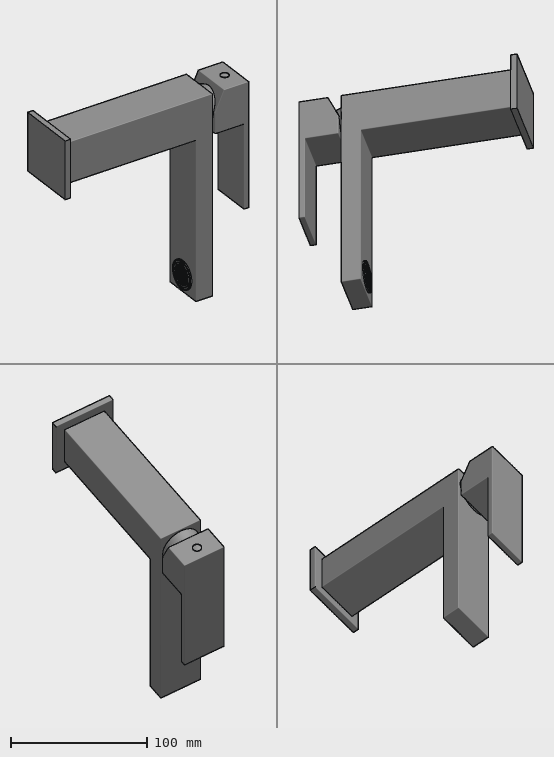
import cadquery as cq
import math


plate_side = 50.0
plate_thickness = 5.0

spout_width = 35.0
spout_end = 135.0
leg_thickness = 15.0
overall_height = 180.0
edge_radius = 0.5

lever_end = 167.0
lever_gap = 2.0
slope_depth = 8.1
blade_thickness = 4.7
blade_bottom = -90.0

neck_radius = 15.8
neck_length = 9.0
neck_half_angle = 17.0

button_radius = 3.5
button_side_height = 0.5
button_dome_height = 0.7
button_inset = 10.0

aerator_height = 15.0
aerator_radius = 12.0
rim_width = 0.9
rim_thickness = 1.0
web_thickness = 0.5
core_radius = 9.7
core_thickness = 1.6
hole_pitch = 2.2
hole_width = 1.6
hole_margin = 0.2

half_width = spout_width / 2
leg_bottom = plate_side / 2 - overall_height
leg_face = spout_end - leg_thickness
lever_start = spout_end + lever_gap


def extrude_side_outline(points):
    """Extrude a (Y, Z) outline over the spout width, centred on X = 0."""
    return cq.Workplane("YZ").polyline(points).close().extrude(half_width, both=True)


def make_plate():
    return (
        cq.Workplane("XZ")
        .rect(plate_side, plate_side)
        .extrude(-plate_thickness)
        .faces(">Y")
        .edges()
        .fillet(edge_radius)
    )


def make_spout():
    outline = [
        (plate_thickness, half_width),
        (spout_end, half_width),
        (spout_end, leg_bottom),
        (leg_face, leg_bottom),
        (leg_face, -half_width),
        (plate_thickness, -half_width),
    ]
    return extrude_side_outline(outline).edges("not <Y").fillet(edge_radius)


def make_lever():
    blade_face = lever_end - blade_thickness
    outline = [
        (lever_start, -half_width),
        (lever_start, 0),
        (lever_start + slope_depth, half_width),
        (lever_end, half_width),
        (lever_end, blade_bottom),
        (blade_face, blade_bottom),
        (blade_face, -half_width),
    ]
    return extrude_side_outline(outline).edges().fillet(edge_radius)


def make_neck(lever):
    """Cone standing on the spout end and trimmed where it meets the lever."""
    tip_radius = neck_radius - neck_length * math.tan(math.radians(neck_half_angle))
    cone = cq.Solid.makeCone(
        neck_radius, tip_radius, neck_length, cq.Vector(0, spout_end, 0), cq.Vector(0, 1, 0)
    )
    return cq.Workplane(cone).cut(lever)


def make_button():
    dome_radius = (button_radius**2 + button_dome_height**2) / (2 * button_dome_height)
    button_top = button_side_height + button_dome_height
    mid_angle = math.asin(button_radius / dome_radius) / 2
    mid_point = (
        dome_radius * math.sin(mid_angle),
        button_top - dome_radius * (1 - math.cos(mid_angle)),
    )
    return (
        cq.Workplane("XZ")
        .lineTo(button_radius, 0)
        .lineTo(button_radius, button_side_height)
        .threePointArc(mid_point, (0, button_top))
        .close()
        .revolve(360, (0, 0, 0), (0, 1, 0))
        .translate((0, lever_end - button_inset, half_width))
    )


def hole_centers():
    """Honeycomb of (X, Z) points whose hexagonal holes lie wholly inside the core."""
    row_pitch = hole_pitch * math.sin(math.radians(60))
    reach = math.ceil(core_radius / row_pitch)
    limit = core_radius - hole_margin - hole_width / math.sqrt(3)
    centers = []
    for row in range(-reach, reach + 1):
        shift = (row % 2) * hole_pitch / 2
        for column in range(-reach, reach + 1):
            x = column * hole_pitch + shift
            z = row * row_pitch
            if math.hypot(x, z) <= limit:
                centers.append((x, z))
    return centers


def hexagon(x, z):
    """Corners of a hexagonal hole with its flats facing +X and -X."""
    corner_radius = hole_width / math.sqrt(3)
    angles = [math.radians(30 + 60 * i) for i in range(6)]
    return [(x + corner_radius * math.cos(a), z + corner_radius * math.sin(a)) for a in angles]


def make_aerator():
    face = cq.Workplane("XZ")
    web = face.circle(aerator_radius).extrude(web_thickness)
    rim = face.circle(aerator_radius).circle(aerator_radius - rim_width).extrude(rim_thickness)
    core = face.circle(core_radius).extrude(core_thickness)
    hole_outlines = face
    for x, z in hole_centers():
        hole_outlines = hole_outlines.polyline(hexagon(x, z)).close()
    holes = hole_outlines.extrude(core_thickness)
    aerator = web.union(rim).union(core).cut(holes)
    return aerator.translate((0, leg_face, leg_bottom + aerator_height))


plate = make_plate()
spout = make_spout()
lever = make_lever()
neck = make_neck(lever)
button = make_button()
aerator = make_aerator()

result = cq.Compound.makeCompound([
    plate.val(),
    spout.val(),
    lever.val(),
    neck.val(),
    button.val(),
    aerator.val(),
])